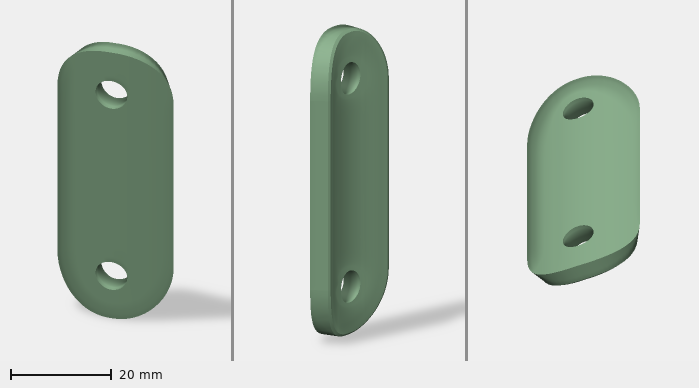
import cadquery as cq
import math

length = 63.0
width = 24.0
outer_radius = 25.0
thickness = 4.05
corner_radius = 12.0
rim_chamfer = 0.5
hole_diameter = 6.55
hole_spacing = 42.95
overlap = 0.3

inner_radius = outer_radius - thickness
half_angle = math.asin(width / 2 / outer_radius)
half_arc = outer_radius * half_angle
curve_samples = 24


def wrap(radius, arc, z):
    """Place a point of the unrolled outline on a cylinder about the Z axis."""
    angle = arc / outer_radius
    return cq.Vector(radius * math.sin(angle), -radius * math.cos(angle), z)


def corner_edge(radius, inset, side, end):
    """Rounded corner, from the tip of the plate to its long side."""
    centre_arc = half_arc - corner_radius
    centre_z = length / 2 - corner_radius
    reach_z = corner_radius - inset
    reach_arc = corner_radius - inset * outer_radius / radius
    points = []
    for step in range(curve_samples + 1):
        turn = math.pi / 2 * step / curve_samples
        arc = centre_arc + reach_arc * math.sin(turn)
        z = centre_z + reach_z * math.cos(turn)
        points.append(wrap(radius, side * arc, end * z))
    return cq.Edge.makeSpline(points)


def rim_edges(radius, inset):
    """Closed plate outline on one cylinder, as edges keyed by name."""
    edges = {}
    tip_arc = half_arc - corner_radius
    tip_z = length / 2 - inset
    for end in (-1, 1):
        tip_points = [wrap(radius, arc, end * tip_z) for arc in (-tip_arc, 0, tip_arc)]
        edges["tip", end] = cq.Edge.makeThreePointArc(*tip_points)
        for side in (-1, 1):
            edges["corner", side, end] = corner_edge(radius, inset, side, end)
    for side in (-1, 1):
        lower = edges["corner", side, -1].endPoint()
        upper = edges["corner", side, 1].endPoint()
        edges["side", side] = cq.Edge.makeLine(lower, upper)
    return edges


def wall_faces(first_rim, second_rim):
    """Edge walls joining matching edges of two rims."""
    return [cq.Face.makeRuledSurface(first_rim[name], second_rim[name]) for name in first_rim]


def broad_faces(rim):
    """Cylindrical face inside a rim, ruled by lines parallel to Z."""
    strips = (("tip",), ("corner", -1), ("corner", 1))
    return [cq.Face.makeRuledSurface(rim[strip + (-1,)], rim[strip + (1,)]) for strip in strips]


def outline_solid():
    """Solid with the plate's edge walls, standing proud of both broad faces."""
    outer_rim = rim_edges(outer_radius + overlap, 0)
    bevel_rim = rim_edges(inner_radius + rim_chamfer, 0)
    inner_rim = rim_edges(inner_radius - overlap, rim_chamfer + overlap)
    faces = broad_faces(outer_rim) + wall_faces(outer_rim, bevel_rim)
    faces += wall_faces(bevel_rim, inner_rim) + broad_faces(inner_rim)
    return cq.Solid.makeSolid(cq.Shell.makeShell(faces)).fix()


def bent_plate():
    """Tube of the plate thickness, trimmed to the outline."""
    tube = (
        cq.Workplane("XY", origin=(0, 0, -length / 2 - overlap))
        .circle(outer_radius)
        .circle(inner_radius)
        .extrude(length + 2 * overlap)
    )
    return tube.intersect(cq.Workplane(outline_solid()))


def bolt_holes():
    """Straight cylinders along Y that clear the whole plate."""
    return (
        cq.Workplane("XZ")
        .pushPoints([(0, -hole_spacing / 2), (0, hole_spacing / 2)])
        .circle(hole_diameter / 2)
        .extrude(2 * outer_radius)
    )


result = bent_plate().cut(bolt_holes()).solids()